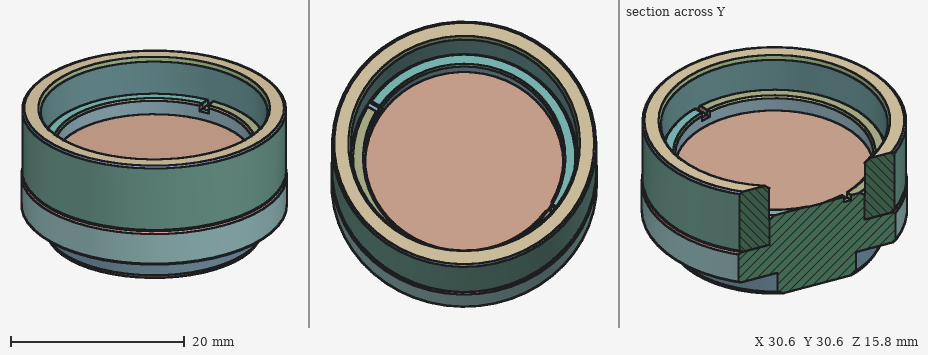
import cadquery as cq

total_height = 15.75
flange_bottom = 3.05
ring_bottom = 7.35
floor_height = 9.3
rim_top = 11.27

flange_radius = 15.3
ring_radius = 15.22
boss_radius = 12.62
bore_radius = 13.08
recess_radius = 11.42

edge_chamfer = 0.25
lead_in_height = 0.5
lead_in_width = 0.28

slot_width = 0.8
slot_depth = 0.7
slot_angle = 108.7


def disc(radius, bottom, top):
    return cq.Workplane("XY").workplane(offset=bottom).circle(radius).extrude(top - bottom)


def cone(bottom_radius, top_radius, bottom, top):
    """Solid frustum between two heights."""
    return cq.Workplane(cq.Solid.makeCone(bottom_radius, top_radius, top - bottom, cq.Vector(0, 0, bottom)))


def make_boss():
    lead_in = cone(boss_radius - lead_in_width, boss_radius, 0, lead_in_height)
    return disc(boss_radius, lead_in_height, flange_bottom).union(lead_in)


def make_spanner_slots():
    slots = cq.Workplane("XY").box(2 * flange_radius, slot_width, slot_depth, centered=(True, True, False))
    return slots.rotate((0, 0, 0), (0, 0, 1), slot_angle).translate((0, 0, rim_top - slot_depth))


def make_spigot():
    """Spigot with a flat recess; the slotted inner edge of its rim is broken all the way round."""
    lead_in_start = rim_top - lead_in_height
    spigot = disc(bore_radius, ring_bottom, lead_in_start)
    spigot = spigot.union(cone(bore_radius, bore_radius - lead_in_width, lead_in_start, rim_top))
    spigot = spigot.cut(disc(recess_radius, floor_height, rim_top)).cut(make_spanner_slots())

    recess_limit = recess_radius + edge_chamfer

    recess_wall = spigot.faces(cq.selectors.BoxSelector(
        (-recess_limit, -recess_limit, floor_height - edge_chamfer),
        (recess_limit, recess_limit, rim_top + edge_chamfer),
        boundingbox=True,
    ))
    rim_edges = recess_wall.edges().filter(lambda edge: edge.Center().z > floor_height + edge_chamfer)
    return rim_edges.chamfer(edge_chamfer)


def make_base():
    flange = disc(flange_radius, flange_bottom, ring_bottom).edges().chamfer(edge_chamfer)
    return make_boss().union(flange).union(make_spigot())


def make_ring():
    """Plain ring that fits over the spigot and rests on the flange."""
    ring = disc(ring_radius, ring_bottom, total_height).edges().chamfer(edge_chamfer)
    bore = disc(bore_radius, ring_bottom, total_height)
    mouth = cone(bore_radius, bore_radius + lead_in_width, total_height - lead_in_height, total_height)
    return ring.cut(bore).cut(mouth)


base = make_base()
ring = make_ring()

result = cq.Compound.makeCompound([base.val(), ring.val()])